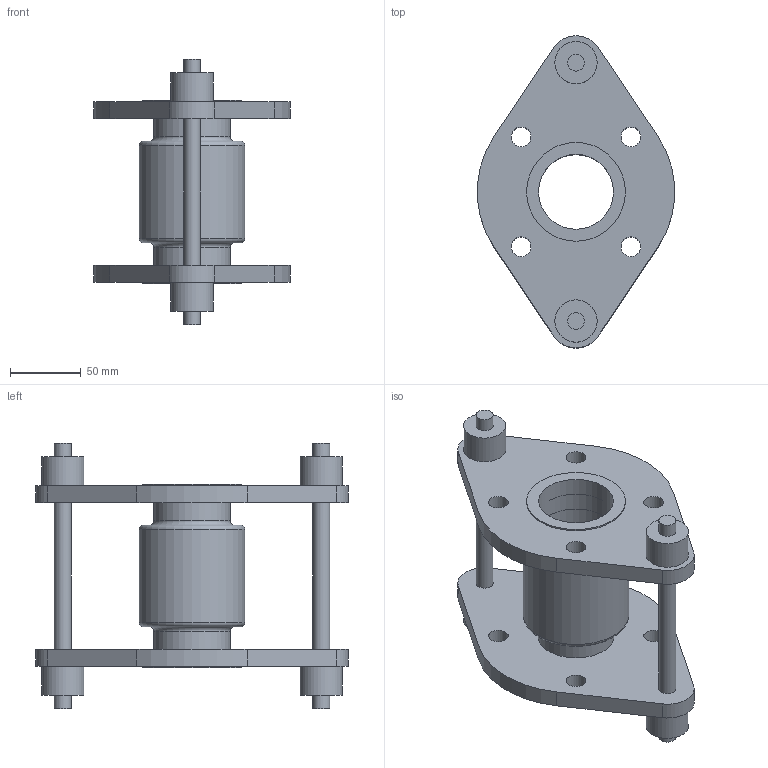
import cadquery as cq
import math

plate_radius = 70.0
plate_ear_radius = 19.0
plate_thickness = 12.0
plate_outer_z = 64.0

rod_spacing = 183.0
rod_diameter = 12.0
rod_length = 188.0
nut_diameter = 30.0
nut_height = 20.5

bolt_circle_diameter = 110.0
bolt_hole_diameter = 14.0
bolt_hole_count = 4
first_bolt_angle = 45.0

bore_diameter = 53.0
neck_diameter = 54.0
body_diameter = 75.0
body_half_height = 36.0
body_round = 3.0
raised_face_diameter = 70.0
raised_face_height = 1.0

rod_y = rod_spacing / 2
plate_inner_z = plate_outer_z - plate_thickness
sleeve_half_height = plate_outer_z + raised_face_height


def plate_profile():
    """Central disc joined to two smaller end arcs by common tangent lines."""
    tangent_sin = (plate_radius - plate_ear_radius) / rod_y
    tangent_cos = math.sqrt(1 - tangent_sin**2)
    side_x = plate_radius * tangent_cos
    side_y = plate_radius * tangent_sin
    ear_x = plate_ear_radius * tangent_cos
    ear_y = rod_y + plate_ear_radius * tangent_sin
    tip_y = rod_y + plate_ear_radius
    return (
        cq.Workplane("XY")
        .moveTo(side_x, -side_y)
        .threePointArc((plate_radius, 0), (side_x, side_y))
        .lineTo(ear_x, ear_y)
        .threePointArc((0, tip_y), (-ear_x, ear_y))
        .lineTo(-side_x, side_y)
        .threePointArc((-plate_radius, 0), (-side_x, -side_y))
        .lineTo(-ear_x, -ear_y)
        .threePointArc((0, -tip_y), (ear_x, -ear_y))
        .close()
    )


def cylinder(diameter, bottom_z, top_z, y=0.0):
    """Upright cylinder centred on X = 0 at the given Y."""
    return (
        cq.Workplane("XY")
        .workplane(offset=bottom_z)
        .center(0, y)
        .circle(diameter / 2)
        .extrude(top_z - bottom_z)
    )


def flange_plate(bottom_z):
    """Solid plate with its ring of bolt holes, resting at the given height."""
    bolt_holes = (
        cq.Workplane("XY")
        .polarArray(bolt_circle_diameter / 2, first_bolt_angle, 360, bolt_hole_count)
        .circle(bolt_hole_diameter / 2)
        .extrude(plate_thickness)
    )
    return plate_profile().extrude(plate_thickness).cut(bolt_holes).translate((0, 0, bottom_z))


def tie_rod(y):
    """Rod through both plates with a round nut against each outer face."""
    nut_end_z = plate_outer_z + nut_height
    rod = cylinder(rod_diameter, -rod_length / 2, rod_length / 2, y)
    upper_nut = cylinder(nut_diameter, plate_outer_z, nut_end_z, y)
    lower_nut = cylinder(nut_diameter, -nut_end_z, -plate_outer_z, y)
    return rod.union(upper_nut).union(lower_nut)


def sleeve():
    """Neck and wider body, rounded at the shoulders and where they meet."""
    neck = cylinder(neck_diameter, -sleeve_half_height, sleeve_half_height)
    body = cylinder(body_diameter, -body_half_height, body_half_height)
    shoulder_edges = cq.selectors.BoxSelector(
        (-body_diameter, -body_diameter, -body_half_height - body_round),
        (body_diameter, body_diameter, body_half_height + body_round),
    )
    return neck.union(body).edges("%CIRCLE").edges(shoulder_edges).fillet(body_round)


def raised_face(bottom_z):
    """Thin disc standing proud of a plate's outer face, around the bore."""
    return cylinder(raised_face_diameter, bottom_z, bottom_z + raised_face_height)


result = sleeve()
for plate_bottom_z in (plate_inner_z, -plate_outer_z):
    result = result.union(flange_plate(plate_bottom_z))
for face_bottom_z in (plate_outer_z, -sleeve_half_height):
    result = result.union(raised_face(face_bottom_z))
for side in (-1, 1):
    result = result.union(tie_rod(side * rod_y))
result = result.cut(cylinder(bore_diameter, -sleeve_half_height, sleeve_half_height))